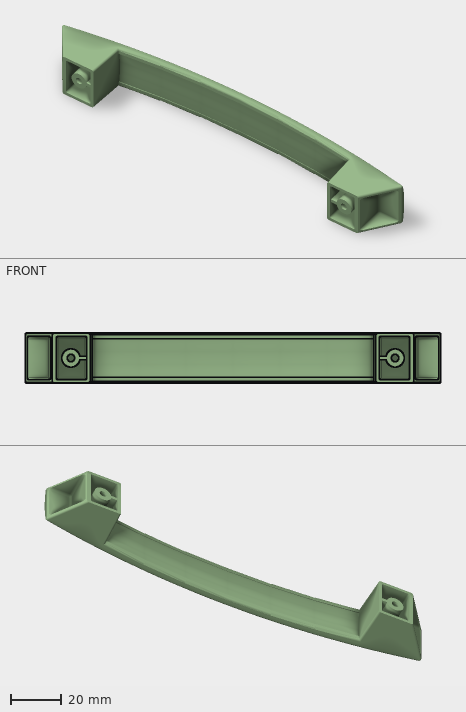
import cadquery as cq
import math

length = 165.8
height = 24.5
width = 20.0
half_length = length / 2
half_width = width / 2

outer_end_y = 16.7
inner_mid_y = 20.0
inner_leg_y = 16.3
ring_angle = 40.0
crown_radius = 49.8
edge_round = 0.8

tip_y = 14.8
foot_outer_x = 72.1
foot_inner_x = 57.0
leg_top_x = 56.2

grip_skin = 3.6
leg_skin = 2.5
groove_half_width = 7.6
pocket_half_width = 8.6
screw_pocket_round = 0.7
end_pocket_round = 1.0
screw_pocket_outer_x = 70.5
screw_pocket_inner_x = 58.4
end_pocket_wall_x = 72.6
end_pocket_floor_y = 13.8

boss_x = 64.7
boss_radius = 3.6
screw_hole_radius = 1.5
screw_hole_depth = 13.3
boss_recess = 0.8
boss_root_y = 18.2
web_thickness = 1.5
web_end_x = 57.7


def arc_radius(half_chord, rise):
    return (half_chord**2 + rise**2) / (2 * rise)


bow_radius = arc_radius(half_length, height - outer_end_y)
bow_center_y = height - bow_radius


def crowned_ring(offset):
    """Solid of revolution whose rim lies `offset` inside the crowned outer face."""
    reach = half_width + 1.7
    crown = crown_radius - offset
    crest = height - offset
    shoulder = crest - crown + math.sqrt(crown**2 - reach**2)
    section = (
        cq.Workplane("YZ")
        .moveTo(-height, -reach)
        .lineTo(shoulder, -reach)
        .threePointArc((crest, 0), (shoulder, reach))
        .lineTo(-height, reach)
        .close()
    )
    ring = section.revolve(ring_angle, (bow_center_y, 0), (bow_center_y, 1))
    return ring.rotate((0, bow_center_y, 0), (0, bow_center_y, 1), -ring_angle / 2)


def block(x_min, x_max, y_min, y_max, half_depth):
    return (
        cq.Workplane("XY")
        .box(x_max - x_min, y_max - y_min, 2 * half_depth)
        .translate(((x_min + x_max) / 2, (y_min + y_max) / 2, 0))
    )


def rounded_pocket(cavity, radius):
    """Round every edge of the cavity except those around its mouth."""
    mouth_y = cavity.val().BoundingBox().ymin
    inner_edges = [edge for edge in cavity.edges().vals() if edge.BoundingBox().ymax > mouth_y + 0.02]
    return cavity.newObject(inner_edges).fillet(radius)


def both_ends(left):
    return left.union(left.mirror("YZ"))


outline = (
    cq.Workplane("XY")
    .moveTo(-half_length, height + 1.7)
    .lineTo(-half_length, tip_y)
    .lineTo(-foot_outer_x, 0)
    .lineTo(-foot_inner_x, 0)
    .lineTo(-leg_top_x, inner_leg_y)
    .threePointArc((0, inner_mid_y), (leg_top_x, inner_leg_y))
    .lineTo(foot_inner_x, 0)
    .lineTo(foot_outer_x, 0)
    .lineTo(half_length, tip_y)
    .lineTo(half_length, height + 1.7)
    .close()
    .extrude(half_width, both=True)
)
body = outline.intersect(crowned_ring(0))

side_edges = body.faces("<Z or >Z").edges()
rounded_edges = [edge for edge in side_edges.vals() if edge.Center().y > 0.02]
body = body.newObject(rounded_edges).fillet(edge_round)

groove = block(-leg_top_x, leg_top_x, 0, height, groove_half_width).intersect(crowned_ring(grip_skin))
result = body.cut(groove)

screw_pocket = rounded_pocket(
    block(-screw_pocket_outer_x, -screw_pocket_inner_x, 0, height, pocket_half_width)
    .intersect(crowned_ring(leg_skin)),
    screw_pocket_round,
)
result = result.cut(both_ends(screw_pocket))

boss = (
    cq.Workplane("XZ", origin=(-boss_x, boss_recess, 0))
    .circle(boss_radius)
    .extrude(boss_recess - boss_root_y)
)
web = block(-boss_x, -web_end_x, boss_recess, boss_root_y, web_thickness / 2)
screw_hole = (
    cq.Workplane("XZ", origin=(-boss_x, 0, 0)).circle(screw_hole_radius).extrude(-screw_hole_depth)
)
result = result.union(both_ends(boss.union(web))).cut(both_ends(screw_hole))

end_pocket = rounded_pocket(
    block(-half_length, -end_pocket_wall_x, -1.7, end_pocket_floor_y, pocket_half_width),
    end_pocket_round,
)
result = result.cut(both_ends(end_pocket))